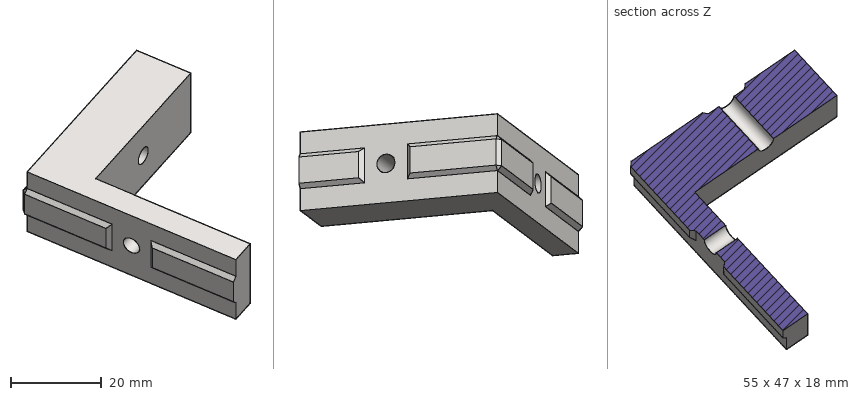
import cadquery as cq
import math

total_x = 55.0
total_y = 47.0
height = 18.0

ridge_depth = 1.0
front_length = total_x - ridge_depth
side_length = total_y - ridge_depth
front_thickness = 6.05
side_thickness = 14.0

ridge_base = 8.0
ridge_crest = ridge_base - 2 * ridge_depth
ridge_gap = 10.0
hole_diameter = 4.2
front_hole_at = front_length / 2
side_hole_at = front_thickness + (side_length - front_thickness) / 2

front_face = cq.Plane(origin=(0, 0, 0), xDir=(1, 0, 0), normal=(0, -1, 0))
side_face = cq.Plane(origin=(0, 0, 0), xDir=(0, 1, 0), normal=(-1, 0, 0))


def make_body():
    """L-shaped block, centred on Z = 0."""
    outline = [
        (0, 0),
        (front_length, 0),
        (front_length, front_thickness),
        (side_thickness, front_thickness),
        (side_thickness, side_length),
        (0, side_length),
    ]
    return cq.Workplane("XY").polyline(outline).close().extrude(height / 2, both=True)


def make_ridge(face, base_span, crest_span):
    """Tapered ridge on a face, between the given start and end positions."""
    base_start, base_end = base_span
    crest_start, crest_end = crest_span
    base_middle = (base_start + base_end) / 2
    crest_middle = (crest_start + crest_end) / 2
    return (
        cq.Workplane(face)
        .center(base_middle, 0)
        .rect(base_end - base_start, ridge_base)
        .workplane(offset=ridge_depth)
        .center(crest_middle - base_middle, 0)
        .rect(crest_end - crest_start, ridge_crest)
        .loft(ruled=True, combine=True)
    )


def make_corner():
    """Flat diagonal bevel joining the two ridges around the body's corner."""
    reach = ridge_depth / math.sqrt(2)
    profile = [
        (0, -ridge_base / 2),
        (reach, -ridge_crest / 2),
        (reach, ridge_crest / 2),
        (0, ridge_base / 2),
    ]
    diagonal = cq.Plane(origin=(0, 0, 0), xDir=(-1, -1, 0), normal=(-1, 1, 0))
    wedge = cq.Workplane(diagonal).polyline(profile).close().extrude(ridge_depth, both=True)
    quadrant = cq.Workplane("XY").rect(-ridge_depth, -ridge_depth, centered=False)
    return wedge.intersect(quadrant.extrude(ridge_base / 2, both=True))


def make_hole(face, position, thickness):
    """Cylinder passing through an arm from its outer face."""
    return cq.Workplane(face).center(position, 0).circle(hole_diameter / 2).extrude(-thickness)


arms = [
    (front_face, front_length, front_thickness, front_hole_at),
    (side_face, side_length, side_thickness, side_hole_at),
]

result = make_body().union(make_corner())
for face, length, thickness, hole_at in arms:
    gap_start = hole_at - ridge_gap / 2
    gap_end = hole_at + ridge_gap / 2
    near_ridge = make_ridge(face, (0, gap_start), (0, gap_start - ridge_depth))
    far_ridge = make_ridge(face, (gap_end, length), (gap_end + ridge_depth, length))
    result = result.union(near_ridge).union(far_ridge)
    result = result.cut(make_hole(face, hole_at, thickness))